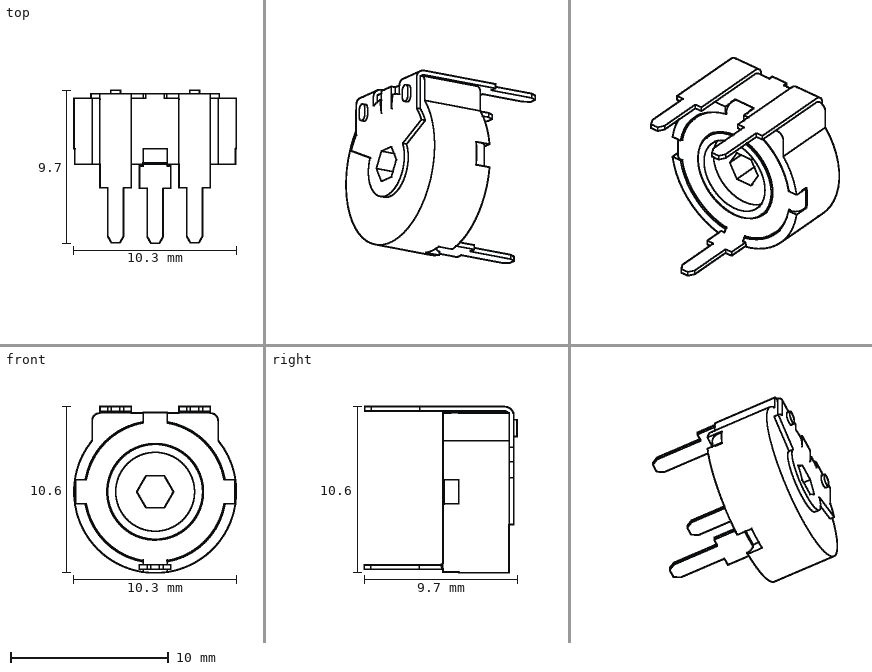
import cadquery as cq
import math


housing_radius = 5.15
housing_depth = 4.2
shoulder_half_width = 4.0
shoulder_top = 4.99
shoulder_fillet = 0.51
bore_radius = 4.49

sheet = 0.3
bend_inner = 0.31
bend_outer = bend_inner + sheet

disc_radius = 4.43
disc_face = 0.1
disc_back = disc_face + sheet
tab_width = 1.52
tab_reach = disc_radius + bend_outer
tab_depth = 0.99
notch_clearance = 0.02
notch_depth = tab_depth + notch_clearance

rotor_opening_radius = 3.06
rotor_radius = 3.01
pocket_radius = 2.5
pocket_depth = 0.94
hex_across_flats = 2.0

plate_back = housing_depth + sheet
hub_radius = 2.09
plate_radius = bore_radius
plate_edge_angle = 25
plate_gap_half_angle = 9.5
tongue_width = 1.18
rivet_width = 0.63
rivet_height = 1.09
rivet_z = 4.03
rivet_projection = 0.21

lead_pitch = 2.5
lead_top = 5.4
lead_width = 2.0
pin_width = 1.01
pin_tip_width = 0.55
pin_taper = 0.41
pin_length = 3.48
outer_lead_step = -1.48
wiper_lead_step = -1.51
wiper_bend_z = -4.31
wiper_lead_start = disc_face - bend_inner
wing_angle = 16


def plane_and_length(y_start, y_end):
    """X-Z sketch plane at y_start and the signed extrusion length that reaches y_end."""
    return cq.Workplane("XZ", origin=(0, y_start, 0)), y_start - y_end


def disc(radius, y_start, y_end):
    plane, length = plane_and_length(y_start, y_end)
    return plane.circle(radius).extrude(length)


def block(x_span, y_span, z_span):
    (x0, x1), (y0, y1), (z0, z1) = x_span, y_span, z_span
    return cq.Workplane("XY").box(x1 - x0, y1 - y0, z1 - z0, centered=False).translate((x0, y0, z0))


def make_housing():
    shoulders = block(
        (-shoulder_half_width, shoulder_half_width), (0, housing_depth), (0, shoulder_top)
    ).edges("|Y and >Z").fillet(shoulder_fillet)
    housing = disc(housing_radius, 0, housing_depth).union(shoulders)
    above_shoulders = block(
        (-shoulder_half_width, shoulder_half_width), (0, housing_depth), (shoulder_top, 2 * shoulder_top)
    )
    housing = housing.cut(above_shoulders).cut(disc(bore_radius, 0, disc_back))
    notch = block(
        (-tab_width / 2, tab_width / 2), (0, notch_depth), (disc_radius - sheet, 2 * housing_radius)
    )
    for angle in (0, 90, 180, 270):
        housing = housing.cut(notch.rotate((0, 0, 0), (0, 1, 0), angle))
    return housing


def make_front_disc():
    plate = disc(disc_radius, disc_face, disc_back)
    tab = block(
        (-tab_width / 2, tab_width / 2), (disc_face, tab_depth), (disc_radius - sheet, tab_reach)
    ).edges("|X and >Z and <Y").fillet(bend_outer)
    for angle in (0, 90, 270):
        plate = plate.union(tab.rotate((0, 0, 0), (0, 1, 0), angle))
    return plate.cut(disc(rotor_opening_radius, disc_face, disc_back))


def make_rear_plate():
    """Contact plate: two mirrored sectors and a round hub, with a housing tongue between the sectors."""
    def rim_point(degrees):
        angle = math.radians(degrees)
        return plate_radius * math.cos(angle), plate_radius * math.sin(angle)

    upper_angle = 90 - plate_gap_half_angle
    plane, length = plane_and_length(housing_depth, plate_back)
    sector = (
        plane.moveTo(0, 0)
        .lineTo(*rim_point(plate_edge_angle))
        .threePointArc(rim_point((plate_edge_angle + upper_angle) / 2), rim_point(upper_angle))
        .close()
        .extrude(length)
    )
    tongue = block((-tongue_width / 2, tongue_width / 2), (housing_depth, plate_back), (0, shoulder_top))
    hub = disc(hub_radius, housing_depth, plate_back)
    return hub.union(sector).union(sector.mirror("YZ")).union(tongue)


def bend(center_y, center_z, start_angle, end_angle, width):
    """Curved strip of sheet metal; angles are measured from +Y toward +Z about the bend axis."""
    def point(radius, degrees):
        angle = math.radians(degrees)
        return center_y + radius * math.cos(angle), center_z + radius * math.sin(angle)

    middle = (start_angle + end_angle) / 2
    return (
        cq.Workplane("YZ")
        .moveTo(*point(bend_inner, start_angle))
        .lineTo(*point(bend_outer, start_angle))
        .threePointArc(point(bend_outer, middle), point(bend_outer, end_angle))
        .lineTo(*point(bend_inner, end_angle))
        .threePointArc(point(bend_inner, middle), point(bend_inner, start_angle))
        .close()
        .extrude(width / 2, both=True)
    )


def flat_lead(start_y, step_y, top_z):
    """Wide lead that steps down to a narrow pin with a tapered tip."""
    tip_y = step_y - pin_length
    right_side = [
        (lead_width / 2, start_y),
        (lead_width / 2, step_y),
        (pin_width / 2, step_y),
        (pin_width / 2, tip_y + pin_taper),
        (pin_tip_width / 2, tip_y),
    ]
    left_side = [(-x, y) for x, y in reversed(right_side)]
    return (
        cq.Workplane("XY", origin=(0, 0, top_z))
        .polyline(right_side + left_side)
        .close()
        .extrude(-sheet)
    )


def make_outer_lead():
    bend_y = plate_back - bend_outer
    bend_z = lead_top - bend_outer
    lead = flat_lead(bend_y, outer_lead_step, lead_top)
    lead = lead.union(bend(bend_y, bend_z, 0, 90, lead_width))
    upright = block((-lead_width / 2, lead_width / 2), (housing_depth, plate_back), (hub_radius, bend_z))
    plane, length = plane_and_length(plate_back, plate_back + rivet_projection)
    rivet = plane.center(0, rivet_z).slot2D(rivet_height, rivet_width, 90).extrude(length)
    return lead.union(upright).union(rivet)


def make_wiper_lead():
    lead = flat_lead(wiper_lead_start, wiper_lead_step, wiper_bend_z - bend_inner)
    lead = lead.union(bend(wiper_lead_start, wiper_bend_z, 270, 270 + wing_angle, lead_width))
    lead = lead.union(bend(wiper_lead_start, wiper_bend_z, 270, 360, tab_width))
    return lead


def make_rotor():
    return disc(rotor_radius, 0, disc_back)


def make_rotor_openings():
    """Round pocket in the front and the hexagonal drive hole through everything."""
    plane, length = plane_and_length(0, plate_back)
    hex_across_corners = hex_across_flats / math.cos(math.radians(30))
    drive_hole = plane.polygon(6, hex_across_corners).extrude(length)
    return disc(pocket_radius, 0, pocket_depth).union(drive_hole)


result = make_housing().union(make_front_disc()).union(make_rotor()).union(make_rear_plate())
for side in (-1, 1):
    result = result.union(make_outer_lead().translate((side * lead_pitch, 0, 0)))
result = result.union(make_wiper_lead())
result = result.cut(make_rotor_openings())